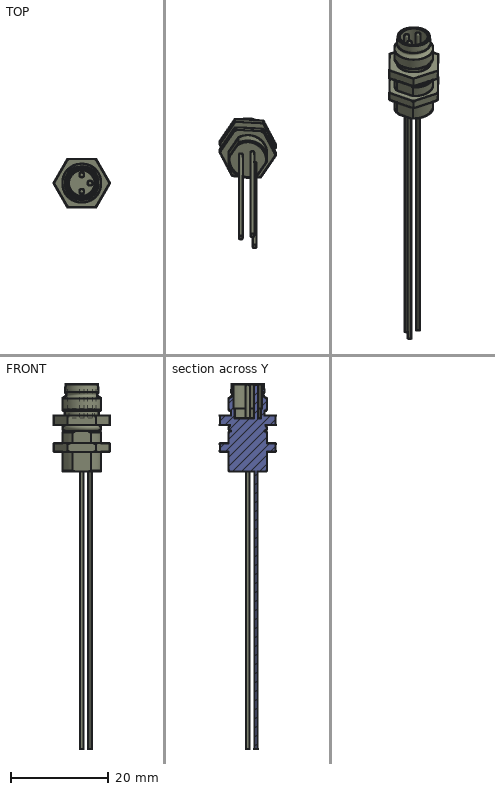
import cadquery as cq
import math

total_height = 75.0
body_height = 18.0
wire_length = total_height - body_height

body_diameter = 8.0
body_flat_distance = 7.0
lower_body_height = 8.35
edge_chamfer = 0.25
shoulder_height = 0.35

ring_top = 9.55
ring_section_radius = (ring_top - lower_body_height) / 2
neck_diameter = 7.0
band_bottom = 12.5
band_top = 15.05

groove_diameter = 6.1
groove_height = 15.65
groove_fillet = 0.3
ridge_diameter = 6.9
ridge_bottom = 16.35
ridge_top = 16.85
plug_diameter = 6.6

socket_diameter = 5.8
socket_ledge_depth = 5.0
socket_floor_diameter = 5.3
socket_depth = 7.0
socket_floor = body_height - socket_depth

nut_width = 10.0
nut_sides = 6
nut_corner_diameter = nut_width / math.cos(math.pi / nut_sides)
upper_nut_bottom = ring_top
upper_nut_thickness = 2.0
lower_nut_bottom = 4.05
lower_nut_thickness = 1.8
nut_bevel = 0.2

contact_radius = 1.7
contact_angles = (-90, 0, 90)
pin_diameter = 1.0
pin_tip_rounding = 0.45
pin_top = 17.9
wire_diameter = 0.8


def cylinder(diameter, bottom, height):
    return cq.Workplane("XY").workplane(offset=bottom).circle(diameter / 2).extrude(height)


def make_lower_body():
    body = cylinder(body_diameter, 0, lower_body_height)
    body = body.faces("<Z").chamfer(edge_chamfer)
    body = body.faces(">Z").chamfer(shoulder_height, edge_chamfer)
    flats = cq.Workplane("XY").rect(body_diameter, body_flat_distance).extrude(lower_body_height)
    return body.intersect(flats)


def make_upper_body():
    """Revolved sealing ring, neck, band and plug end."""
    body_radius = body_diameter / 2
    neck_radius = neck_diameter / 2
    ring_centre_radius = body_radius - ring_section_radius

    profile = cq.Workplane("XZ").moveTo(0, lower_body_height)
    profile = profile.lineTo(ring_centre_radius, lower_body_height)
    profile = profile.threePointArc(
        (body_radius, lower_body_height + ring_section_radius),
        (ring_centre_radius, ring_top),
    )
    profile = profile.lineTo(neck_radius, ring_top)
    profile = profile.lineTo(neck_radius, band_bottom)
    profile = profile.lineTo(body_radius - edge_chamfer, band_bottom)
    profile = profile.lineTo(body_radius, band_bottom + edge_chamfer)
    profile = profile.lineTo(body_radius, band_top)
    profile = profile.lineTo(groove_diameter / 2, groove_height)
    profile = profile.lineTo(ridge_diameter / 2, ridge_bottom)
    profile = profile.lineTo(ridge_diameter / 2, ridge_top)
    profile = profile.lineTo(plug_diameter / 2, body_height)
    profile = profile.lineTo(0, body_height)
    body = profile.close().revolve(360, (0, 0), (0, 1))

    groove_edge = cq.selectors.NearestToPointSelector((0, 0, groove_height))
    return body.edges("%CIRCLE").edges(groove_edge).fillet(groove_fillet)


def make_socket():
    """Round socket with a narrower bottom below a ledge."""
    mouth = cylinder(socket_diameter, body_height, -socket_ledge_depth)
    return mouth.union(cylinder(socket_floor_diameter, body_height, -socket_depth))


def make_nut(bottom, thickness):
    return cq.Workplane("XY").workplane(offset=bottom).polygon(nut_sides, nut_corner_diameter).extrude(thickness)


def make_bevelled_nut(bottom, thickness):
    envelope = cylinder(nut_corner_diameter, bottom, thickness)
    envelope = envelope.faces("<Z or >Z").chamfer(nut_bevel)
    return make_nut(bottom, thickness).intersect(envelope)


def make_pin():
    pin = cylinder(pin_diameter, socket_floor, pin_top - socket_floor)
    return pin.faces(">Z").fillet(pin_tip_rounding)


def make_wire():
    return cylinder(wire_diameter, -wire_length, wire_length)


result = make_lower_body().union(make_upper_body())
result = result.union(make_nut(upper_nut_bottom, upper_nut_thickness))
result = result.union(make_bevelled_nut(lower_nut_bottom, lower_nut_thickness))
result = result.cut(make_socket())
for contact_angle in contact_angles:
    x = contact_radius * math.cos(math.radians(contact_angle))
    y = contact_radius * math.sin(math.radians(contact_angle))
    result = result.union(make_pin().translate((x, y, 0)))
    result = result.union(make_wire().translate((x, y, 0)))